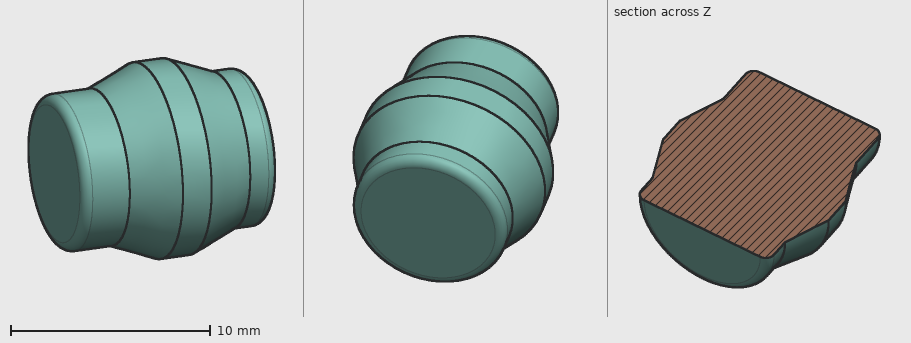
import math

import cadquery as cq

total_length = 10.5
end_diameter = 8.0
belt_diameter = 10.0
front_neck_length = 2.5
back_neck_length = 1.5
cone_angle = 22.0
edge_radius = 0.5

end_radius = end_diameter / 2
belt_radius = belt_diameter / 2
cone_length = (belt_radius - end_radius) / math.tan(math.radians(cone_angle))

front_face = -total_length / 2
front_cone_start = front_face + front_neck_length
belt_start = front_cone_start + cone_length
back_face = total_length / 2
back_cone_end = back_face - back_neck_length
belt_end = back_cone_end - cone_length


def turned_body():
    """Two necks joined through straight cones to a wider central belt."""
    half_profile = (
        cq.Workplane("XY")
        .moveTo(0, front_face)
        .lineTo(end_radius, front_face)
        .lineTo(end_radius, front_cone_start)
        .lineTo(belt_radius, belt_start)
        .lineTo(belt_radius, belt_end)
        .lineTo(end_radius, back_cone_end)
        .lineTo(end_radius, back_face)
        .lineTo(0, back_face)
        .close()
    )
    return half_profile.revolve(360, (0, 0, 0), (0, 1, 0))


def round_end_edges(body):
    """Round the rim of both flat end faces."""
    return body.faces("<Y or >Y").edges().fillet(edge_radius)


result = round_end_edges(turned_body())